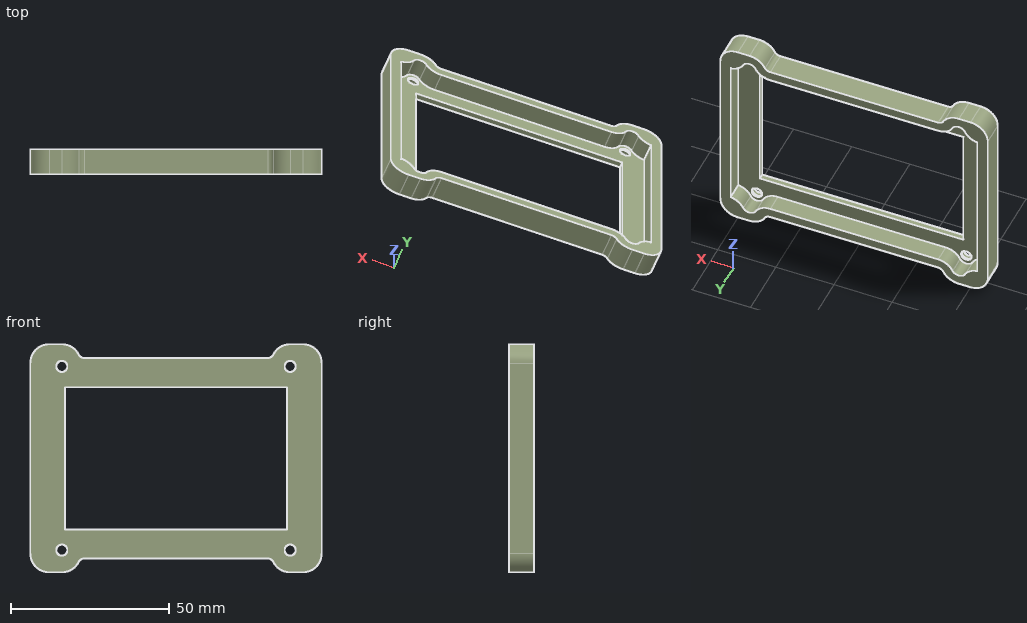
import cadquery as cq
import math

width = 92.0
thickness = 8.0
height = 72.0

ear_radius = 6.0
rail_height = 63.3
rail_fillet = 2.0

front_plate = 2.0
wall = 3.6

window_width = 70.0
window_height = 44.8

hole_diameter = 3.4
hole_relief_diameter = 3.6
hole_land = 1.5
hole_spacing_x = 72.0
hole_spacing_z = 58.0

ear_x = hole_spacing_x / 2
ear_z = height / 2 - ear_radius


def block(x_size, y_size, z_size):
    """Box centred in X and Z that runs back from Y = 0."""
    return cq.Workplane("XY").box(x_size, y_size, z_size, centered=(True, False, True))


def upper_right_ear(depth, inset):
    """Round-topped ear that flares into the rail on both sides, moved inward by inset."""
    top_radius = ear_radius - inset
    flare_radius = rail_fillet + inset
    rail_z = rail_height / 2 - inset

    centre_rise = rail_z + flare_radius - ear_z
    centre_distance = top_radius + flare_radius
    centre_reach = math.sqrt(centre_distance**2 - centre_rise**2)
    joint_x = centre_reach * top_radius / centre_distance
    joint_z = ear_z + centre_rise * top_radius / centre_distance

    half_angle = math.asin(centre_reach / centre_distance) / 2
    middle_x = centre_reach - flare_radius * math.sin(half_angle)
    middle_z = rail_z + flare_radius * (1 - math.cos(half_angle))

    return (
        cq.Workplane("XZ")
        .moveTo(ear_x - centre_reach, 0)
        .lineTo(ear_x - centre_reach, rail_z)
        .threePointArc((ear_x - middle_x, middle_z), (ear_x - joint_x, joint_z))
        .threePointArc((ear_x, ear_z + top_radius), (ear_x + joint_x, joint_z))
        .threePointArc((ear_x + middle_x, middle_z), (ear_x + centre_reach, rail_z))
        .lineTo(ear_x + centre_reach, 0)
        .close()
        .extrude(-depth)
    )


def on_four_corners(upper_right):
    """Copy an upper right solid to all four corners and join the copies."""
    right = upper_right.union(upper_right.mirror("XY"))
    return right.union(right.mirror("YZ"))


def hole_cylinders(diameter, y_start):
    """One cylinder per mounting hole, from y_start to the back of the front plate."""
    return (
        cq.Workplane("XZ", origin=(0, y_start, 0))
        .rarray(hole_spacing_x, hole_spacing_z, 2, 2)
        .circle(diameter / 2)
        .extrude(y_start - front_plate)
    )


between_columns = block(2 * ear_x, thickness, height)
columns = block(width, thickness, height).edges("|Y").fillet(ear_radius).cut(between_columns)
rails = block(2 * ear_x, thickness, rail_height)
inner_ears = on_four_corners(upper_right_ear(thickness, 0)).intersect(between_columns)
outer_body = columns.union(rails).union(inner_ears)

cavity_depth = thickness - front_plate
cavity_width = width - 2 * wall
bays = on_four_corners(upper_right_ear(cavity_depth, wall))
bays = bays.intersect(block(cavity_width, cavity_depth, height))
cavity = block(cavity_width, cavity_depth, rail_height - 2 * wall).union(bays)
shell = outer_body.cut(cavity.translate((0, front_plate, 0)))

window = block(window_width, front_plate, window_height)
holes = hole_cylinders(hole_diameter, 0).union(hole_cylinders(hole_relief_diameter, hole_land))

result = shell.cut(window).cut(holes)